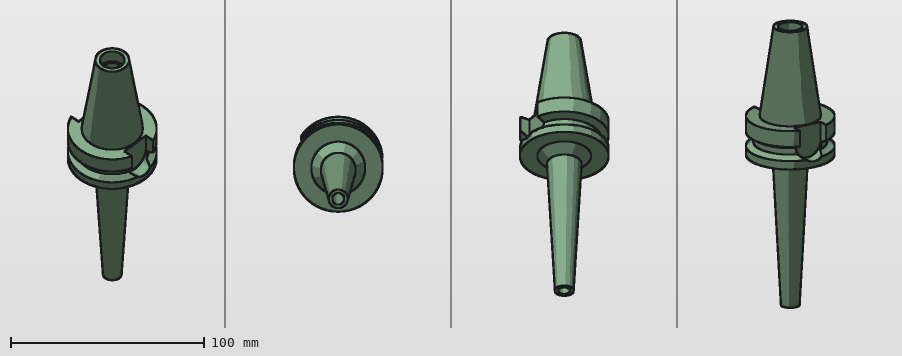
import cadquery as cq

total_length = 153.4
flange_radius = 23.0

taper_ratio = 7 / 24
gauge_radius = 15.8
taper_length = 48.3
gauge_z = total_length - taper_length
taper_top_radius = gauge_radius - taper_length * taper_ratio / 2

flange_top_z = 104.2
flange_bottom_z = 83.0
groove_radius = 19.2
groove_center_z = 91.6
groove_floor_width = 3.5
groove_mouth_width = 7.8

collar_radius = 14.0
nose_top_z = 78.1
nose_top_radius = 9.0
tip_radius = 4.9

slot_width = 16.1
slot_bottom_z = 86.2
slot_floor_x = 16.3

socket_radius = 6.3
socket_depth = 7.0
thread_radius = 5.2
thread_depth = 33.7
relief_radius = 4.1
relief_depth = 43.0
through_radius = 3.0
bore_stages = [
    (socket_radius, socket_depth),
    (thread_radius, thread_depth),
    (relief_radius, relief_depth),
    (through_radius, total_length),
]


def holder_body():
    """Solid of revolution about Z: nose, flange, groove and taper."""
    floor_half = groove_floor_width / 2
    mouth_half = groove_mouth_width / 2
    half_profile = [
        (0, 0),
        (tip_radius, 0),
        (nose_top_radius, nose_top_z),
        (collar_radius, flange_bottom_z),
        (flange_radius, flange_bottom_z),
        (flange_radius, groove_center_z - mouth_half),
        (groove_radius, groove_center_z - floor_half),
        (groove_radius, groove_center_z + floor_half),
        (flange_radius, groove_center_z + mouth_half),
        (flange_radius, flange_top_z),
        (gauge_radius, flange_top_z),
        (gauge_radius, gauge_z),
        (taper_top_radius, total_length),
        (0, total_length),
    ]
    return cq.Workplane("XZ").polyline(half_profile).close().revolve(360, (0, 0), (0, 1))


def drive_slot(side):
    """Cutter for a round-bottomed slot, open at the flange top; side is +1 or -1."""
    half_width = slot_width / 2
    arc_center_z = slot_bottom_z + half_width
    return (
        cq.Workplane("YZ", origin=(side * slot_floor_x, 0, 0))
        .moveTo(-half_width, flange_top_z)
        .lineTo(-half_width, arc_center_z)
        .threePointArc((0, slot_bottom_z), (half_width, arc_center_z))
        .lineTo(half_width, flange_top_z)
        .close()
        .extrude(side * flange_radius)
    )


def bore_stage(radius, depth):
    """Cutter running from the taper's top face down to the given depth."""
    return cq.Workplane("XY", origin=(0, 0, total_length)).circle(radius).extrude(-depth)


result = holder_body()
for slot_side in (-1, 1):
    result = result.cut(drive_slot(slot_side))
for stage_radius, stage_depth in bore_stages:
    result = result.cut(bore_stage(stage_radius, stage_depth))